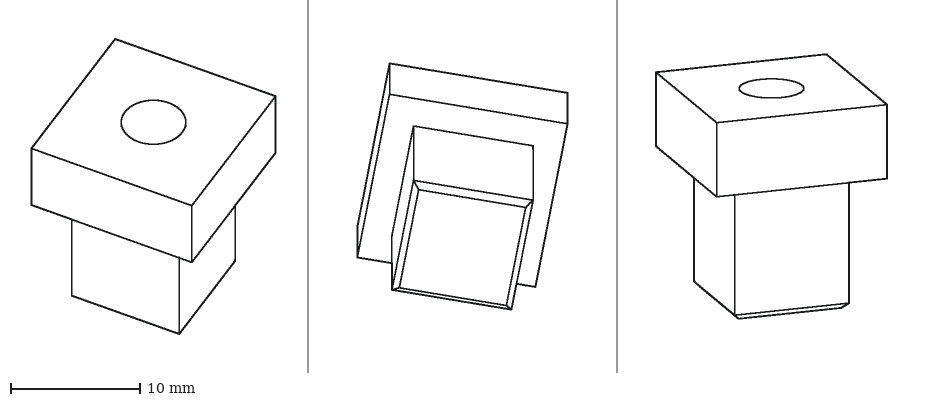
import cadquery as cq

total_height = 17.0
head_width = 14.0
head_height = 6.0
shank_width = 9.4
tip_chamfer = 0.5
hole_diameter = 5.0
hole_depth = head_height

shank_height = total_height - head_height

shank = (
    cq.Workplane("XY")
    .rect(shank_width, shank_width)
    .extrude(shank_height)
    .faces("<Z")
    .edges()
    .chamfer(tip_chamfer)
)

head = (
    cq.Workplane("XY")
    .workplane(offset=shank_height)
    .rect(head_width, head_width)
    .extrude(head_height)
)

hole = (
    cq.Workplane("XY")
    .workplane(offset=total_height - hole_depth)
    .circle(hole_diameter / 2)
    .extrude(hole_depth)
)

result = shank.union(head).cut(hole)